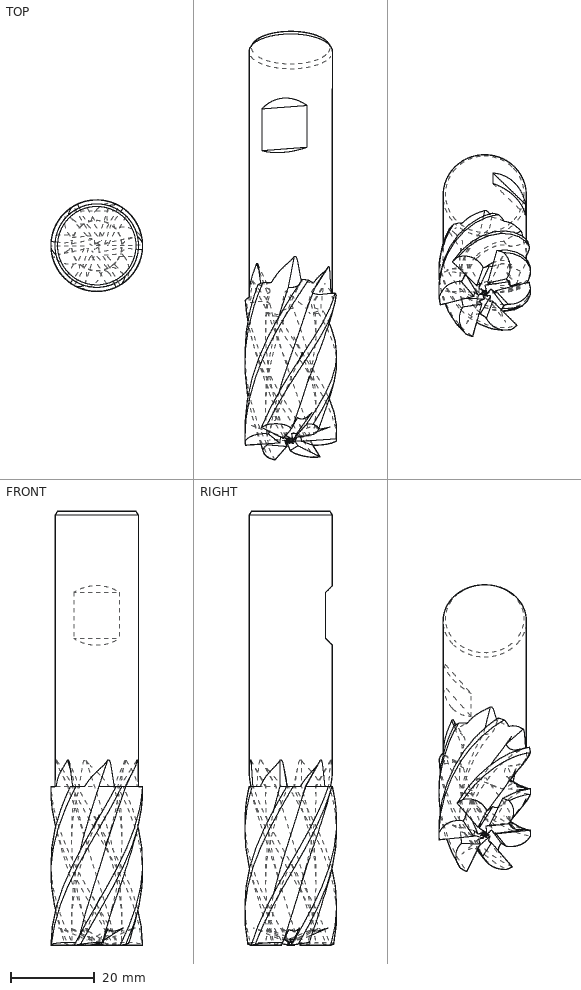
import cadquery as cq
import math

TOTAL_LENGTH = 104.0
SHANK_RADIUS = 10.0
SHANK_CHAMFER_HEIGHT = 1.0
SHANK_CHAMFER_WIDTH = 0.6

HEAD_RADIUS = 11.0
HEAD_LENGTH = 38.0
TOOTH_COUNT = 6
HELIX_ANGLE = 30.0
START_ANGLE = 0.6
TOOTH_PITCH = 360.0 / TOOTH_COUNT
TWIST_RATE = math.degrees(math.tan(math.radians(HELIX_ANGLE)) / HEAD_RADIUS)
HEAD_TWIST = TWIST_RATE * HEAD_LENGTH

LAND_ANGLE = 8.0
FLUTE_FILLET = 2.1
CORE_RADIUS = 6.0
BACK_RADIUS = 10.0
BACK_ANGLE = 18.0

RUNOUT_LENGTH = 7.9
RUNOUT_TIP_SCALE = 0.1
RUNOUT_PIVOT_RADIUS = 11.5
RUNOUT_PIVOT_ANGLE = -7.5
RUNOUT_CROWN_RADIUS = 13.0

END_RELIEF_ANGLE = 9.0
GASH_OUTER_HEIGHT = 5.5
GASH_SLOPE = 25.0
GASH_WIDTH = FLUTE_FILLET
GASH_INNER_RADIUS = 0.5
GASH_UNDERCUT = 1.0
GASH_LEAN = 26.0

FLAT_DEPTH = 1.65
FLAT_LENGTH = 11.0
FLAT_CENTRE_FROM_TOP = 25.0


def polar(radius, angle):
    """Plan coordinates of a point given by radius and angle."""
    return (radius * math.cos(math.radians(angle)), radius * math.sin(math.radians(angle)))


def turned(point, angle):
    """Point turned about the part axis."""
    x, y = point
    cosine, sine = polar(1.0, angle)
    return (x * cosine - y * sine, x * sine + y * cosine)


def flute_points():
    """Points around one flute, from the previous tooth's land to this tooth's cutting edge."""
    back_top = polar(HEAD_RADIUS, LAND_ANGLE - TOOTH_PITCH)
    back_middle = polar(BACK_RADIUS, BACK_ANGLE - TOOTH_PITCH)
    fillet_x = math.sqrt((CORE_RADIUS + FLUTE_FILLET) ** 2 - FLUTE_FILLET ** 2)
    back_foot = (fillet_x - FLUTE_FILLET, -FLUTE_FILLET)
    diagonal = FLUTE_FILLET * math.sqrt(0.5)
    fillet_middle = (fillet_x - diagonal, diagonal - FLUTE_FILLET)
    rake_foot = (fillet_x, 0.0)
    edge = (HEAD_RADIUS, 0.0)
    return [back_top, back_middle, back_foot, fillet_middle, rake_foot, edge]


def fluted_head():
    """Six-tooth section twisted along a right-hand helix."""
    first_land = polar(HEAD_RADIUS, START_ANGLE + LAND_ANGLE - TOOTH_PITCH)
    section = cq.Workplane("XY").moveTo(*first_land)
    for tooth in range(TOOTH_COUNT):
        edge_angle = START_ANGLE + tooth * TOOTH_PITCH
        points = [turned(p, edge_angle) for p in flute_points()]
        back_middle, back_foot, fillet_middle, rake_foot, edge = points[1:]
        section = section.threePointArc(back_middle, back_foot)
        section = section.threePointArc(fillet_middle, rake_foot)
        section = section.lineTo(*edge)
        land_middle = polar(HEAD_RADIUS, edge_angle + LAND_ANGLE / 2)
        land_end = polar(HEAD_RADIUS, edge_angle + LAND_ANGLE)
        section = section.threePointArc(land_middle, land_end)
    return section.close().twistExtrude(HEAD_LENGTH, HEAD_TWIST)


def runout_wire(rise, scale):
    """Flute section at a height above the head, shrunk towards the pivot."""
    pivot = polar(RUNOUT_PIVOT_RADIUS, RUNOUT_PIVOT_ANGLE)
    angle = START_ANGLE + HEAD_TWIST
    crown = polar(RUNOUT_CROWN_RADIUS, (LAND_ANGLE - TOOTH_PITCH) / 2)
    placed = []
    for x, y in flute_points() + [crown]:
        shrunk = (pivot[0] + scale * (x - pivot[0]), pivot[1] + scale * (y - pivot[1]))
        placed.append(cq.Vector(*turned(shrunk, angle), HEAD_LENGTH + rise))
    back_top, back_middle, back_foot, fillet_middle, rake_foot, edge, crown = placed
    return cq.Wire.assembleEdges([
        cq.Edge.makeThreePointArc(back_top, back_middle, back_foot),
        cq.Edge.makeThreePointArc(back_foot, fillet_middle, rake_foot),
        cq.Edge.makeLine(rake_foot, edge),
        cq.Edge.makeThreePointArc(edge, crown, back_top),
    ])


def flute_runout():
    """Tapering cutter that carries one flute on into the shank."""
    base = runout_wire(0, 1)
    tip = runout_wire(RUNOUT_LENGTH, RUNOUT_TIP_SCALE)
    return cq.Workplane(cq.Solid.makeLoft([base, tip], True))


def shank():
    """Plain cylinder above the head with a chamfered top edge."""
    length = TOTAL_LENGTH - HEAD_LENGTH
    body = cq.Workplane("XY").workplane(offset=HEAD_LENGTH).circle(SHANK_RADIUS).extrude(length)
    return body.faces(">Z").chamfer(SHANK_CHAMFER_HEIGHT, SHANK_CHAMFER_WIDTH)


def clamping_flat():
    """Trapezoid notch on +Y with 45 degree ends."""
    centre = TOTAL_LENGTH - FLAT_CENTRE_FROM_TOP
    floor = SHANK_RADIUS - FLAT_DEPTH
    half_floor = FLAT_LENGTH / 2
    mouth = floor + 2 * FLAT_DEPTH
    half_mouth = half_floor + (mouth - floor)
    return (
        cq.Workplane("YZ")
        .moveTo(floor, centre - half_floor)
        .lineTo(mouth, centre - half_mouth)
        .lineTo(mouth, centre + half_mouth)
        .lineTo(floor, centre + half_floor)
        .close()
        .extrude(SHANK_RADIUS, both=True)
    )


def end_relief():
    """Wedge under one tooth: the end face rises behind the radial end cutting edge."""
    reach = 2 * HEAD_RADIUS
    rise = reach * math.tan(math.radians(END_RELIEF_ANGLE))
    wedge = cq.Workplane("YZ").polyline([(0, 0), (reach, rise), (reach, 0)]).close().extrude(reach)
    sector = cq.Workplane("XY").polyline([(0, 0), (reach, 0), polar(reach, TOOTH_PITCH)]).close()
    return wedge.intersect(sector.extrude(rise))


def end_gash():
    """Sloping channel ahead of one end cutting edge, rising from the axis outwards."""
    slope = math.tan(math.radians(GASH_SLOPE))
    reach = 1.5 * HEAD_RADIUS
    inner_height = GASH_OUTER_HEIGHT - (HEAD_RADIUS - GASH_INNER_RADIUS) * slope
    outer_height = GASH_OUTER_HEIGHT + (reach - HEAD_RADIUS) * slope
    outline = [
        (GASH_INNER_RADIUS, -GASH_UNDERCUT),
        (reach, -GASH_UNDERCUT),
        (reach, outer_height),
        (GASH_INNER_RADIUS, inner_height),
    ]
    channel = cq.Workplane("XZ").polyline(outline).close().extrude(GASH_WIDTH)
    return channel.rotate((0, 0, 0), (1, 0, 0), -GASH_LEAN)


def around_axis(feature, angle):
    return feature.rotate((0, 0, 0), (0, 0, 1), angle)


head = fluted_head()
upper = shank().cut(clamping_flat())
runout = flute_runout()
end_cutters = [end_relief(), end_gash()]
for tooth in range(TOOTH_COUNT):
    turn = tooth * TOOTH_PITCH
    upper = upper.cut(around_axis(runout, turn))
    for cutter in end_cutters:
        head = head.cut(around_axis(cutter, START_ANGLE + turn))

result = head.union(upper)